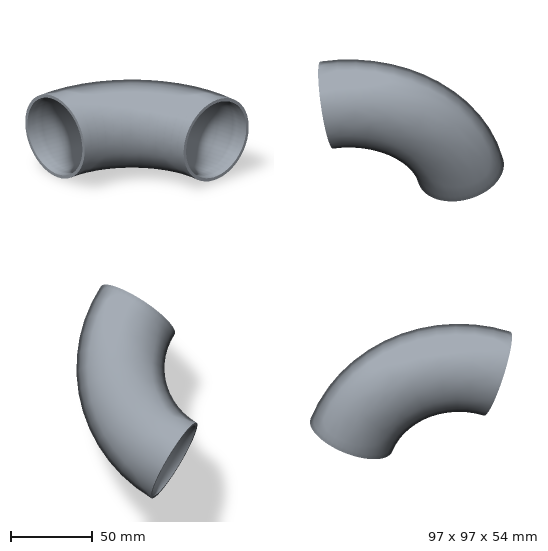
import cadquery as cq

overall_size = 97.0
pipe_diameter = 54.0
wall_thickness = 2.0
bend_angle = 90.0

outer_radius = pipe_diameter / 2
inner_radius = outer_radius - wall_thickness

bend_radius = overall_size - outer_radius

result = (
    cq.Workplane("XZ")
    .center(-bend_radius, 0)
    .circle(outer_radius)
    .circle(inner_radius)
    .revolve(bend_angle, (bend_radius, 0), (bend_radius, -1))
)